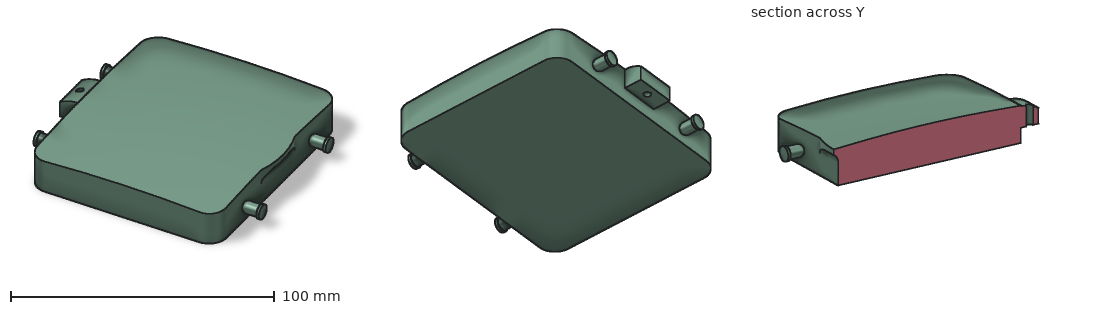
import cadquery as cq
import math

overall_length = 98.4
housing_length = 82.5
housing_width = 94.0
height = 16.8
corner_radius = 7.6
dome_radius = 590.4

lug_width = 16.9
lug_bottom = 6.2
lug_top = 15.2
lug_curve_radius = 14.2
lug_hole_diameter = 3.0

lip_width = 25.6
lip_reach = 2.2
scoop_radius = 4.3
scoop_bottom = 9.2

pin_spacing = 51.0
pin_height = 6.3
pin_radius = 2.6
pin_head_radius = 3.05
pin_head_thickness = 1.2
pin_shank_length = 5.1

half_length = overall_length / 2
wall_x = housing_length / 2
lug_length = half_length - wall_x


def make_block():
    block = cq.Workplane("XY").box(housing_length, housing_width, height, centered=(True, True, False))
    return block.edges("|Z").fillet(corner_radius)


def make_lip():
    """Finger lip on the +X wall: a curved bulge, scooped out underneath."""
    lip = (
        cq.Workplane("XY")
        .workplane(offset=scoop_bottom)
        .moveTo(wall_x - lip_reach, -lip_width / 2)
        .lineTo(wall_x, -lip_width / 2)
        .threePointArc((wall_x + lip_reach, 0), (wall_x, lip_width / 2))
        .lineTo(wall_x - lip_reach, lip_width / 2)
        .close()
        .extrude(height - scoop_bottom)
    )
    scoop = (
        cq.Workplane("XZ")
        .center(wall_x + scoop_radius, scoop_bottom)
        .circle(scoop_radius)
        .extrude(lip_width / 2, both=True)
    )
    return lip.cut(scoop)


def make_dome():
    """Ball whose top gives the slightly domed upper face."""
    return cq.Workplane("XZ").sphere(dome_radius).translate((0, 0, height - dome_radius))


def make_lug():
    """Lug on the -X wall, its top curving down from the wall, with a vertical hole."""
    curve_centre_z = lug_top - lug_curve_radius
    mid_reach = lug_length / 2
    mid_z = curve_centre_z + math.sqrt(lug_curve_radius**2 - mid_reach**2)
    tip_z = curve_centre_z + math.sqrt(lug_curve_radius**2 - lug_length**2)
    lug = (
        cq.Workplane("XZ")
        .moveTo(-wall_x, lug_bottom)
        .lineTo(-wall_x, lug_top)
        .threePointArc((-wall_x - mid_reach, mid_z), (-half_length, tip_z))
        .lineTo(-half_length, lug_bottom)
        .close()
        .extrude(lug_width / 2, both=True)
    )
    hole = (
        cq.Workplane("XY")
        .center(-wall_x - mid_reach, 0)
        .circle(lug_hole_diameter / 2)
        .extrude(height)
    )
    return lug.cut(hole)


def make_pin(side, y):
    """Headed pin with a hemispherical inner end; side is -1 for -X and 1 for +X."""
    head_inner_x = half_length - pin_head_thickness
    round_end_x = head_inner_x - pin_shank_length
    arc_offset = pin_radius * math.sqrt(0.5)
    pin = (
        cq.Workplane("XY")
        .moveTo(round_end_x - pin_radius, 0)
        .threePointArc((round_end_x - arc_offset, arc_offset), (round_end_x, pin_radius))
        .lineTo(head_inner_x, pin_radius)
        .lineTo(head_inner_x, pin_head_radius)
        .lineTo(half_length, pin_head_radius)
        .lineTo(half_length, 0)
        .close()
        .revolve(360, (0, 0, 0), (1, 0, 0))
    )
    if side < 0:
        pin = pin.mirror("YZ")
    return pin.translate((0, y, pin_height))


pins = []
for side in (-1, 1):
    for y in (-pin_spacing / 2, pin_spacing / 2):
        pins.append(make_pin(side, y))

housing = make_block().union(make_lip()).intersect(make_dome()).union(make_lug())
for pin in pins:
    housing = housing.cut(pin)

result = cq.Compound.makeCompound([housing.solids().val(), *[pin.val() for pin in pins]])